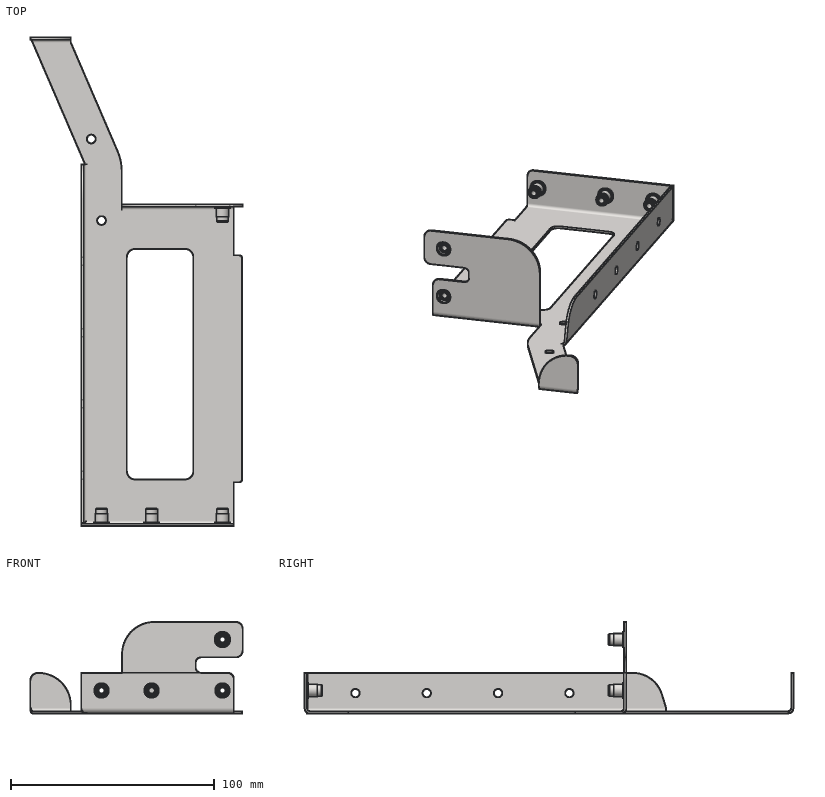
import cadquery as cq
import math

SHEET = 1.2
BEND_OUTER = 2.7
BEND_INNER = BEND_OUTER - SHEET

FLOOR_WIDTH = 75.0
TOTAL_LENGTH = 240.0
TAB_EDGE_X = 79.0
TAB_START_Y = 21.5
TAB_END_Y = 133.0
TAB_RADIUS = 1.5
WINDOW_X = (22.5, 55.0)
WINDOW_Y = (23.0, 136.0)
WINDOW_RADIUS = 4.0
FLOOR_HOLE_DIAMETER = 4.2
FLOOR_HOLES = [(10.0, 150.0), (5.0, 190.0)]

HOOK_LEFT_X = -25.0
HOOK_WIDTH = 20.0
HOOK_RIGHT_X = HOOK_LEFT_X + HOOK_WIDTH
HOOK_SMALL_RADIUS = 4.0
HOOK_LARGE_RADIUS = HOOK_WIDTH - HOOK_SMALL_RADIUS
ARM_SLOPE = math.tan(math.radians(23.3))
ARM_RIGHT_X = 20.0
ARM_ELBOW_RADIUS = 25.0

WALL_HEIGHT = 20.0
SIDE_WALL_END_Y = 177.5
SIDE_WALL_END_LEAN = math.tan(math.radians(17.0))
SIDE_WALL_END_RADIUS = 15.0
CORNER_GAP = 0.4
SIDE_HOLE_DIAMETER = 4.0
SIDE_HOLE_FIRST_Y = 25.0
SIDE_HOLE_PITCH = 35.0
SIDE_HOLE_COUNT = 4
SIDE_HOLE_Z = 10.0
FRONT_WALL_CORNER_RADIUS = 3.0

OVERALL_WIDTH = 104.35
REAR_OUTER_Y = 158.0
REAR_RIGHT_X = HOOK_LEFT_X + OVERALL_WIDTH
REAR_HEIGHT = 45.0
REAR_LARGE_RADIUS = 16.0
REAR_CORNER_RADIUS = 3.5
REAR_SLOT_X = 56.3
REAR_SLOT_BOTTOM_Z = 20.0
REAR_SLOT_TOP_Z = 27.5
REAR_SLOT_RADIUS = 2.5

NUT_BORE = 3.0
NUT_COUNTERBORE = 4.5
NUT_COUNTERBORE_DEPTH = 1.5
NUT_MOUTH = 6.0
NUT_SHANK_DIAMETER = 7.2
NUT_FLANGE_DIAMETER = 7.7
NUT_FLANGE_THICKNESS = 0.7
NUT_BODY_DIAMETER = 6.0
NUT_LENGTH = 7.6
NUT_COLLAR_LENGTH = 2.6
NUT_COLLAR_STEP = 0.1
NUT_TIP_CHAMFER = 0.6
NUT_EDGE_DISTANCE = 10.0
NUT_LOW_Z = 11.3
NUT_HIGH_Z = 36.3
NUT_RIGHT_X = REAR_RIGHT_X - NUT_EDGE_DISTANCE
FRONT_NUTS_X = [10.0, 34.6, NUT_RIGHT_X]
REAR_NUTS_Z = [NUT_LOW_Z, NUT_HIGH_Z]


def bent_strip(plane, height, length):
    """A flange rising from the floor: its outer face is the plane's local x = 0."""
    return (
        cq.Workplane(plane)
        .moveTo(BEND_OUTER, 0)
        .radiusArc((0, BEND_OUTER), BEND_OUTER)
        .lineTo(0, height)
        .lineTo(SHEET, height)
        .lineTo(SHEET, BEND_OUTER)
        .radiusArc((BEND_OUTER, SHEET), -BEND_INNER)
        .close()
        .extrude(length)
    )


def rearward_bend_plane(x_end, y_outer):
    """Profile plane of a flange whose outer face looks toward +Y; the flange runs from x_end along -X."""
    return cq.Plane(origin=(x_end, y_outer, 0), xDir=(0, -1, 0), normal=(-1, 0, 0))


def floor():
    arm_left_x = HOOK_LEFT_X + (TOTAL_LENGTH - SIDE_WALL_END_Y) * ARM_SLOPE
    hook_bend_y = TOTAL_LENGTH - BEND_OUTER
    hook_bend_left_x = HOOK_LEFT_X + BEND_OUTER * ARM_SLOPE
    elbow_y = hook_bend_y - (ARM_RIGHT_X - HOOK_RIGHT_X) / ARM_SLOPE
    rear_bend_y = REAR_OUTER_Y - BEND_OUTER
    plate = (
        cq.Workplane("XY")
        .moveTo(BEND_OUTER, BEND_OUTER)
        .lineTo(FLOOR_WIDTH, BEND_OUTER)
        .lineTo(FLOOR_WIDTH, rear_bend_y)
        .lineTo(ARM_RIGHT_X, rear_bend_y)
        .lineTo(ARM_RIGHT_X, elbow_y)
        .lineTo(HOOK_RIGHT_X, hook_bend_y)
        .lineTo(hook_bend_left_x, hook_bend_y)
        .lineTo(arm_left_x, SIDE_WALL_END_Y)
        .lineTo(BEND_OUTER, SIDE_WALL_END_Y)
        .close()
        .extrude(SHEET)
    )
    elbow = cq.selectors.NearestToPointSelector((ARM_RIGHT_X, elbow_y, SHEET / 2))
    plate = plate.edges("|Z").edges(elbow).fillet(ARM_ELBOW_RADIUS)
    return plate.union(floor_tab())


def floor_tab():
    return (
        cq.Workplane("XY")
        .moveTo(FLOOR_WIDTH - BEND_OUTER, TAB_START_Y)
        .lineTo(TAB_EDGE_X, TAB_START_Y)
        .lineTo(TAB_EDGE_X, TAB_END_Y)
        .lineTo(FLOOR_WIDTH - BEND_OUTER, TAB_END_Y)
        .close()
        .extrude(SHEET)
        .edges("|Z and >X")
        .fillet(TAB_RADIUS)
    )


def floor_cutouts():
    window = (
        cq.Workplane("XY")
        .center(sum(WINDOW_X) / 2, sum(WINDOW_Y) / 2)
        .rect(WINDOW_X[1] - WINDOW_X[0], WINDOW_Y[1] - WINDOW_Y[0])
        .extrude(SHEET)
        .edges("|Z")
        .fillet(WINDOW_RADIUS)
    )
    holes = cq.Workplane("XY").pushPoints(FLOOR_HOLES).circle(FLOOR_HOLE_DIAMETER / 2).extrude(SHEET)
    return window.union(holes)


def hook():
    """Upturned end of the arm; its left end keeps to the slanted line of the arm up to the outer face."""
    strip = bent_strip(rearward_bend_plane(HOOK_RIGHT_X, TOTAL_LENGTH), WALL_HEIGHT, HOOK_WIDTH)
    outline = (
        cq.Workplane(cq.Plane(origin=(0, TOTAL_LENGTH, 0), xDir=(1, 0, 0), normal=(0, -1, 0)))
        .moveTo(HOOK_LEFT_X, 0)
        .lineTo(HOOK_LEFT_X, WALL_HEIGHT - HOOK_SMALL_RADIUS)
        .radiusArc((HOOK_LEFT_X + HOOK_SMALL_RADIUS, WALL_HEIGHT), HOOK_SMALL_RADIUS)
        .radiusArc((HOOK_RIGHT_X, WALL_HEIGHT - HOOK_LARGE_RADIUS), HOOK_LARGE_RADIUS)
        .lineTo(HOOK_RIGHT_X, 0)
        .close()
        .extrude(BEND_OUTER)
    )
    bend_trim = (
        cq.Workplane("XY")
        .moveTo(HOOK_LEFT_X, TOTAL_LENGTH)
        .lineTo(HOOK_LEFT_X + BEND_OUTER * ARM_SLOPE, TOTAL_LENGTH - BEND_OUTER)
        .lineTo(HOOK_LEFT_X, TOTAL_LENGTH - BEND_OUTER)
        .close()
        .extrude(BEND_OUTER)
    )
    return strip.intersect(outline).cut(bend_trim)


def side_wall():
    """Left flange with a leaning, rounded rear end; a small gap parts it from the front flange."""
    plane = cq.Plane(origin=(0, SIDE_WALL_END_Y, 0), xDir=(1, 0, 0), normal=(0, -1, 0))
    wall = bent_strip(plane, WALL_HEIGHT, SIDE_WALL_END_Y - SHEET)
    top_y = SIDE_WALL_END_Y - (WALL_HEIGHT - BEND_OUTER) * SIDE_WALL_END_LEAN
    outline = (
        cq.Workplane("YZ")
        .moveTo(0, 0)
        .lineTo(SIDE_WALL_END_Y, 0)
        .lineTo(SIDE_WALL_END_Y, BEND_OUTER)
        .lineTo(top_y, WALL_HEIGHT)
        .lineTo(SHEET + CORNER_GAP, WALL_HEIGHT)
        .lineTo(SHEET + CORNER_GAP, BEND_OUTER)
        .lineTo(0, BEND_OUTER)
        .close()
        .extrude(BEND_OUTER)
    )
    top_corner = cq.selectors.NearestToPointSelector((BEND_OUTER / 2, top_y, WALL_HEIGHT))
    outline = outline.edges("|X").edges(top_corner).fillet(SIDE_WALL_END_RADIUS)
    holes = (
        cq.Workplane("YZ")
        .pushPoints([(SIDE_HOLE_FIRST_Y + i * SIDE_HOLE_PITCH, SIDE_HOLE_Z) for i in range(SIDE_HOLE_COUNT)])
        .circle(SIDE_HOLE_DIAMETER / 2)
        .extrude(BEND_OUTER)
    )
    return wall.intersect(outline).cut(holes)


def front_wall():
    """Front flange; its left end closes the corner and follows the round bend of the side wall."""
    plane = cq.Plane(origin=(0, 0, 0), xDir=(0, 1, 0), normal=(1, 0, 0))
    wall = bent_strip(plane, WALL_HEIGHT, FLOOR_WIDTH)
    wall = wall.edges("|Y and >X and >Z").fillet(FRONT_WALL_CORNER_RADIUS)
    corner_block = cq.Workplane("XY").rect(BEND_OUTER, BEND_OUTER, centered=False).extrude(BEND_OUTER)
    corner_round = (
        cq.Workplane("XZ")
        .center(BEND_OUTER, BEND_OUTER)
        .circle(BEND_OUTER)
        .extrude(-BEND_OUTER)
    )
    return wall.cut(corner_block.cut(corner_round))


def rear_plate():
    plane = rearward_bend_plane(REAR_RIGHT_X, REAR_OUTER_Y)
    bend = bent_strip(plane, REAR_HEIGHT, REAR_RIGHT_X - ARM_RIGHT_X)
    outline = (
        cq.Workplane(cq.Plane(origin=(0, REAR_OUTER_Y, 0), xDir=(1, 0, 0), normal=(0, -1, 0)))
        .moveTo(ARM_RIGHT_X, 0)
        .lineTo(FLOOR_WIDTH, 0)
        .lineTo(FLOOR_WIDTH, REAR_SLOT_BOTTOM_Z)
        .lineTo(REAR_SLOT_X, REAR_SLOT_BOTTOM_Z)
        .lineTo(REAR_SLOT_X, REAR_SLOT_TOP_Z)
        .lineTo(REAR_RIGHT_X, REAR_SLOT_TOP_Z)
        .lineTo(REAR_RIGHT_X, REAR_HEIGHT)
        .lineTo(ARM_RIGHT_X, REAR_HEIGHT)
        .close()
        .extrude(BEND_OUTER)
    )
    rounded_corners = [
        (ARM_RIGHT_X, REAR_HEIGHT, REAR_LARGE_RADIUS),
        (REAR_RIGHT_X, REAR_HEIGHT, REAR_CORNER_RADIUS),
        (REAR_RIGHT_X, REAR_SLOT_TOP_Z, REAR_CORNER_RADIUS),
        (REAR_SLOT_X, REAR_SLOT_TOP_Z, REAR_SLOT_RADIUS),
        (REAR_SLOT_X, REAR_SLOT_BOTTOM_Z, REAR_SLOT_RADIUS),
        (FLOOR_WIDTH, REAR_SLOT_BOTTOM_Z, REAR_CORNER_RADIUS),
    ]
    for x, z, radius in rounded_corners:
        corner = cq.selectors.NearestToPointSelector((x, REAR_OUTER_Y - BEND_OUTER / 2, z))
        outline = outline.edges("|Y").edges(corner).fillet(radius)
    return bend.intersect(outline)


def nut_places():
    """Centre of each nut on the outer face of its wall, and the direction its body points."""
    front = [((x, 0, NUT_LOW_Z), (0, 1, 0)) for x in FRONT_NUTS_X]
    rear = [((NUT_RIGHT_X, REAR_OUTER_Y, z), (0, -1, 0)) for z in REAR_NUTS_Z]
    return front + rear


def nut_plane(place):
    origin, direction = place
    return cq.Plane(origin=origin, xDir=(1, 0, 0), normal=direction)


def bracket():
    body = floor().cut(floor_cutouts())
    for flange in (hook(), side_wall(), front_wall(), rear_plate()):
        body = body.union(flange, clean=False)
    for place in nut_places():
        hole = cq.Workplane(nut_plane(place)).circle(NUT_SHANK_DIAMETER / 2).extrude(SHEET)
        body = body.cut(hole, clean=False)
    return body


def clinch_nut(place):
    """Nut pressed through the sheet: shank, seating flange, body, and a collar with a chamfered tip."""
    plane = nut_plane(place)
    tip = SHEET + NUT_LENGTH
    collar_start = tip - NUT_COLLAR_LENGTH
    nut = cq.Workplane(plane).circle(NUT_SHANK_DIAMETER / 2).extrude(SHEET)
    flange = (
        cq.Workplane(plane).workplane(offset=SHEET)
        .circle(NUT_FLANGE_DIAMETER / 2).extrude(NUT_FLANGE_THICKNESS)
    )
    body = cq.Workplane(plane).circle(NUT_BODY_DIAMETER / 2).extrude(collar_start)
    collar = (
        cq.Workplane(plane).workplane(offset=collar_start)
        .circle(NUT_BODY_DIAMETER / 2 - NUT_COLLAR_STEP).extrude(NUT_COLLAR_LENGTH)
        .faces(cq.selectors.DirectionMinMaxSelector(plane.zDir)).chamfer(NUT_TIP_CHAMFER)
    )
    bore = cq.Workplane(plane).circle(NUT_BORE / 2).extrude(tip)
    counterbore = cq.Workplane(plane).circle(NUT_COUNTERBORE / 2).extrude(NUT_COUNTERBORE_DEPTH)
    mouth_depth = (NUT_MOUTH - NUT_COUNTERBORE) / 2
    mouth = (
        cq.Workplane(plane).circle(NUT_MOUTH / 2)
        .workplane(offset=mouth_depth).circle(NUT_COUNTERBORE / 2).loft()
    )
    return nut.union(flange).union(body).union(collar).cut(bore).cut(counterbore).cut(mouth)


tray = bracket()
nuts = [clinch_nut(place) for place in nut_places()]
result = cq.Compound.makeCompound([tray.val(), *[nut.val() for nut in nuts]])